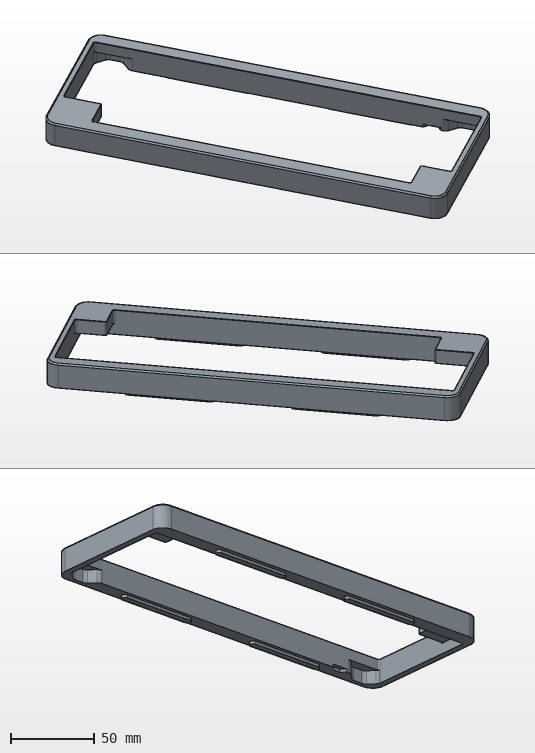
import cadquery as cq

LENGTH = 252.89
WIDTH = 96.2
FRAME_HEIGHT = 16.0
CORNER_RADIUS = 8.0
TOP_CHAMFER = 1.0

SIDE_WALL = 4.3
BACK_WALL = 9.5
FRONT_WALL = 9.9
WINDOW_CORNER_RADIUS = 1.04
WINDOW_CHAMFER = 0.3

LEFT_BLOCK_EDGE = 28.2
RIGHT_BLOCK_EDGE = 23.6
BLOCK_BACK_EDGE = 28.6
BLOCK_THICKNESS = 9.0

POCKET_LENGTH = 22.3
POCKET_DEPTH = 6.5
POCKET_ROOF = 7.3
POCKET_CORNER_RADIUS = 4.0

NOTCH_START = 85.4
NOTCH_END = 96.7
NOTCH_DEPTH = 3.0
NOTCH_HEIGHT = 2.0

FOOT_LENGTH = 54.4
FOOT_WIDTH = 4.4
FOOT_HEIGHT = 2.0
FOOT_X = 51.0
FOOT_EDGE_INSET = 5.0

HALF_LENGTH = LENGTH / 2
HALF_WIDTH = WIDTH / 2
WINDOW_X = HALF_LENGTH - SIDE_WALL
WINDOW_BACK = HALF_WIDTH - BACK_WALL
WINDOW_FRONT = -HALF_WIDTH + FRONT_WALL
BLOCK_BACK = -HALF_WIDTH + BLOCK_BACK_EDGE


def box_between(x_range, y_range, z_range):
    """Box spanning the given (low, high) ranges."""
    sizes = [high - low for low, high in (x_range, y_range, z_range)]
    lows = (x_range[0], y_range[0], z_range[0])
    return cq.Workplane("XY").box(*sizes, centered=False).translate(lows)


def outer_body():
    body = cq.Workplane("XY").box(LENGTH, WIDTH, FRAME_HEIGHT, centered=(True, True, False))
    body = body.edges("|Z").fillet(CORNER_RADIUS)
    return body.faces(">Z").edges().chamfer(TOP_CHAMFER)


def window():
    """Opening through the frame, leaving the two blocks in its front corners."""
    below_blocks = FRAME_HEIGHT - BLOCK_THICKNESS
    left_block = -HALF_LENGTH + LEFT_BLOCK_EDGE
    right_block = HALF_LENGTH - RIGHT_BLOCK_EDGE
    upper = box_between((-WINDOW_X, WINDOW_X), (BLOCK_BACK, WINDOW_BACK), (0, FRAME_HEIGHT))
    between_blocks = box_between((left_block, right_block), (WINDOW_FRONT, WINDOW_BACK), (0, FRAME_HEIGHT))
    upper = upper.union(between_blocks).clean().edges("|Z").fillet(WINDOW_CORNER_RADIUS)
    lower = box_between((-WINDOW_X, WINDOW_X), (WINDOW_FRONT, WINDOW_BACK), (0, below_blocks))
    lower = lower.edges("|Z").fillet(WINDOW_CORNER_RADIUS)
    return upper.union(lower)


def chamfer_window(body):
    """Break the top edge all around the window."""
    window_zone = cq.selectors.BoxSelector(
        (-WINDOW_X - WINDOW_CHAMFER, WINDOW_FRONT - WINDOW_CHAMFER, 0),
        (WINDOW_X + WINDOW_CHAMFER, WINDOW_BACK + WINDOW_CHAMFER, FRAME_HEIGHT + WINDOW_CHAMFER),
    )
    return body.faces(">Z").edges(window_zone).chamfer(WINDOW_CHAMFER)


def back_wall_recess(start, end, depth, height):
    """Recess open to the window and the underside, narrowing into the back wall at 45 degrees."""
    back = WINDOW_BACK + depth
    outline = [(start, WINDOW_BACK), (start + depth, back), (end - depth, back), (end, WINDOW_BACK)]
    return cq.Workplane("XY").polyline(outline).close().extrude(height)


def back_pockets():
    """Both pockets with the strip of window that joins them, their upright edges rounded."""
    pocket_height = FRAME_HEIGHT - POCKET_ROOF
    left_end = -WINDOW_X + POCKET_LENGTH
    right_start = WINDOW_X - POCKET_LENGTH
    strip_y = (WINDOW_BACK - POCKET_DEPTH, WINDOW_BACK)
    pockets = box_between((-WINDOW_X, WINDOW_X), strip_y, (0, pocket_height))
    for start, end in ((-WINDOW_X, left_end), (right_start, WINDOW_X)):
        pockets = pockets.union(back_wall_recess(start, end, POCKET_DEPTH, pocket_height))
    return pockets.edges("|Z").edges("not <Y").fillet(POCKET_CORNER_RADIUS)


def feet():
    foot_y = HALF_WIDTH - FOOT_EDGE_INSET
    centres = [(x, y) for x in (-FOOT_X, FOOT_X) for y in (-foot_y, foot_y)]
    return cq.Workplane("XY").pushPoints(centres).slot2D(FOOT_LENGTH, FOOT_WIDTH).extrude(-FOOT_HEIGHT)


result = chamfer_window(outer_body().cut(window()))
result = result.cut(back_pockets())
result = result.cut(back_wall_recess(NOTCH_START, NOTCH_END, NOTCH_DEPTH, NOTCH_HEIGHT))
result = result.union(feet())